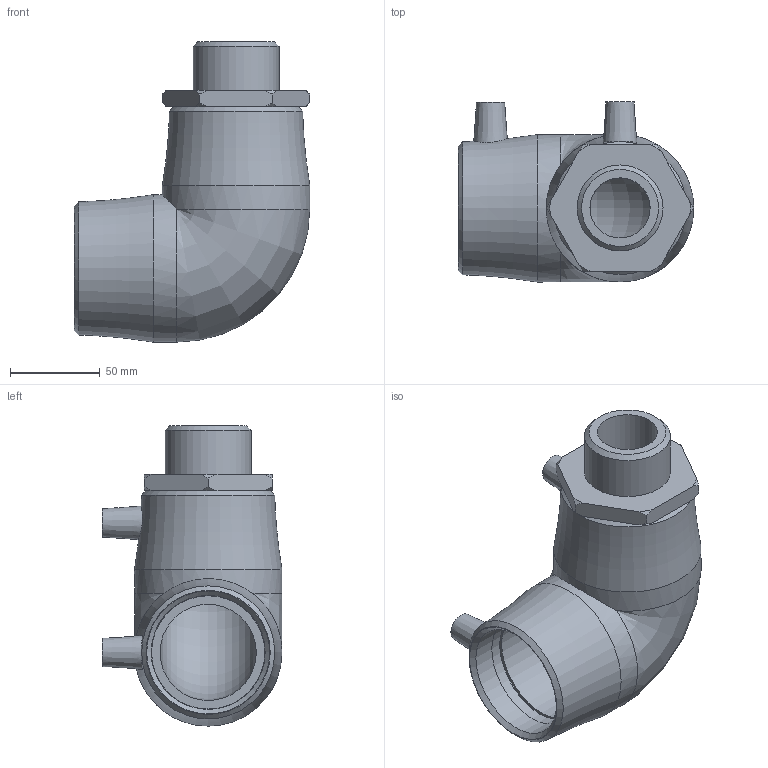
import cadquery as cq
import math


BODY_DIAMETER = 82.0
BODY_RADIUS = BODY_DIAMETER / 2
MOUTH_RADIUS = 37.0
ARM_LENGTH = 90.0
BEND_RADIUS = 33.0
COLLAR_LENGTH = 13.0
COLLAR_END = BEND_RADIUS + COLLAR_LENGTH
MOUTH_CHAMFER = 2.5
NECK_SAG = 0.7
BEND_BORE_RADIUS = 53.5 / 2

SOCKET_RADIUS = 63.0 / 2
ENTRY_CLEARANCE = 0.2
ENTRY_RADIUS = SOCKET_RADIUS + ENTRY_CLEARANCE
ENTRY_CHAMFER = 2.5
TAPER_START = 15.0
GROOVE_START = 21.0
GROOVE_WIDTH = 1.5
GROOVE_DEPTH = 1.5

PIN_DISTANCE = 72.0
PIN_TIP_Y = 59.0
PIN_ROOT_Y = 34.5
PIN_TIP_RADIUS = 15.7 / 2
PIN_TAPER_ANGLE = 4.0

HEX_CORNER_DIAMETER = BODY_DIAMETER
HEX_HEIGHT = 9.0
HEX_CHAMFER = 2.0
HEX_TOP = ARM_LENGTH + HEX_HEIGHT
SPIGOT_RADIUS = 47.8 / 2
SPIGOT_LENGTH = 27.0
SPIGOT_CHAMFER = 2.5
SPIGOT_TOP = HEX_TOP + SPIGOT_LENGTH
SPIGOT_BORE_RADIUS = 33.46 / 2


def cylinder(radius, bottom, top):
    """Cylinder on the Z axis between two heights."""
    return cq.Workplane("XY").workplane(offset=bottom).circle(radius).extrude(top - bottom)


def turn_to_socket(shape):
    """Swing a shape built along +Z round to the -X arm."""
    return shape.rotate((0, 0, 0), (0, 1, 0), -90)


def make_arm():
    """Solid arm along +Z: straight collar, slightly concave neck and end chamfer."""
    neck_end = ARM_LENGTH - MOUTH_CHAMFER
    neck_middle = ((BODY_RADIUS + MOUTH_RADIUS) / 2 - NECK_SAG, (neck_end + COLLAR_END) / 2)
    return (
        cq.Workplane("XZ")
        .moveTo(0, BEND_RADIUS)
        .lineTo(BODY_RADIUS, BEND_RADIUS)
        .lineTo(BODY_RADIUS, COLLAR_END)
        .threePointArc(neck_middle, (MOUTH_RADIUS, neck_end))
        .lineTo(MOUTH_RADIUS - MOUTH_CHAMFER, ARM_LENGTH)
        .lineTo(0, ARM_LENGTH)
        .close()
        .revolve(360, (0, 0, 0), (0, 1, 0))
    )


def make_pin():
    """Tapered terminal pin on the +Z arm."""
    length = PIN_TIP_Y - PIN_ROOT_Y
    root_radius = PIN_TIP_RADIUS + length * math.tan(math.radians(PIN_TAPER_ANGLE))
    pin = cq.Solid.makeCone(
        root_radius, PIN_TIP_RADIUS, length, cq.Vector(0, PIN_ROOT_Y, PIN_DISTANCE), cq.Vector(0, 1, 0)
    )
    return cq.Workplane(pin)


def sweep_bend(profile):
    """Turn a profile at the foot of the +Z arm through 90 degrees into the -X arm."""
    return profile.revolve(90, (-BEND_RADIUS, 0, 0), (-BEND_RADIUS, 1, 0))


def make_bend():
    """Outer bend: the body circle cut off at the bend axis, which it would otherwise cross."""
    outermost = (BODY_RADIUS, 0)
    arc_middle_x = BODY_RADIUS * math.cos(math.pi / 4)
    arc_middle_y = BODY_RADIUS * math.sin(math.pi / 4)
    half_chord = math.sqrt(BODY_RADIUS**2 - BEND_RADIUS**2)
    profile = (
        cq.Workplane("XY", origin=(0, 0, BEND_RADIUS))
        .moveTo(-BEND_RADIUS, -half_chord)
        .threePointArc((arc_middle_x, -arc_middle_y), outermost)
        .threePointArc((arc_middle_x, arc_middle_y), (-BEND_RADIUS, half_chord))
        .close()
    )
    return sweep_bend(profile)


def make_bend_bore():
    """Round passage through the bend."""
    return sweep_bend(cq.Workplane("XY", origin=(0, 0, BEND_RADIUS)).circle(BEND_BORE_RADIUS))


def make_socket():
    """Socket cavity along +Z: chamfered entry, slight taper, narrow ring groove and straight bore."""
    groove_top = ARM_LENGTH - GROOVE_START
    cavity = (
        cq.Workplane("XZ")
        .moveTo(0, BEND_RADIUS)
        .lineTo(SOCKET_RADIUS, BEND_RADIUS)
        .lineTo(SOCKET_RADIUS, groove_top)
        .lineTo(ENTRY_RADIUS, ARM_LENGTH - TAPER_START)
        .lineTo(ENTRY_RADIUS, ARM_LENGTH - ENTRY_CHAMFER)
        .lineTo(ENTRY_RADIUS + ENTRY_CHAMFER, ARM_LENGTH)
        .lineTo(0, ARM_LENGTH)
        .close()
        .revolve(360, (0, 0, 0), (0, 1, 0))
    )
    groove = cylinder(SOCKET_RADIUS + GROOVE_DEPTH, groove_top - GROOVE_WIDTH, groove_top)
    return cavity.union(groove)


def make_hexagon():
    """Hexagon with corners on the X axis, its corners chamfered above and below."""
    hexagon = (
        cq.Workplane("XY").workplane(offset=ARM_LENGTH).polygon(6, HEX_CORNER_DIAMETER).extrude(HEX_HEIGHT)
    )
    corner_turning = cylinder(HEX_CORNER_DIAMETER / 2, ARM_LENGTH, HEX_TOP).edges().chamfer(HEX_CHAMFER)
    return hexagon.intersect(corner_turning)


def make_spigot():
    """Round spigot above the hexagon, chamfered at its end."""
    return cylinder(SPIGOT_RADIUS, HEX_TOP, SPIGOT_TOP).faces(">Z").edges().chamfer(SPIGOT_CHAMFER)


arm_with_pin = make_arm().union(make_pin())
body = make_bend().union(arm_with_pin).union(turn_to_socket(arm_with_pin))
body = body.union(make_hexagon()).union(make_spigot())

spigot_bore = cylinder(SPIGOT_BORE_RADIUS, BEND_RADIUS, SPIGOT_TOP)
result = body.cut(make_bend_bore()).cut(turn_to_socket(make_socket())).cut(spigot_bore)
result = cq.Workplane(result.solids().val())